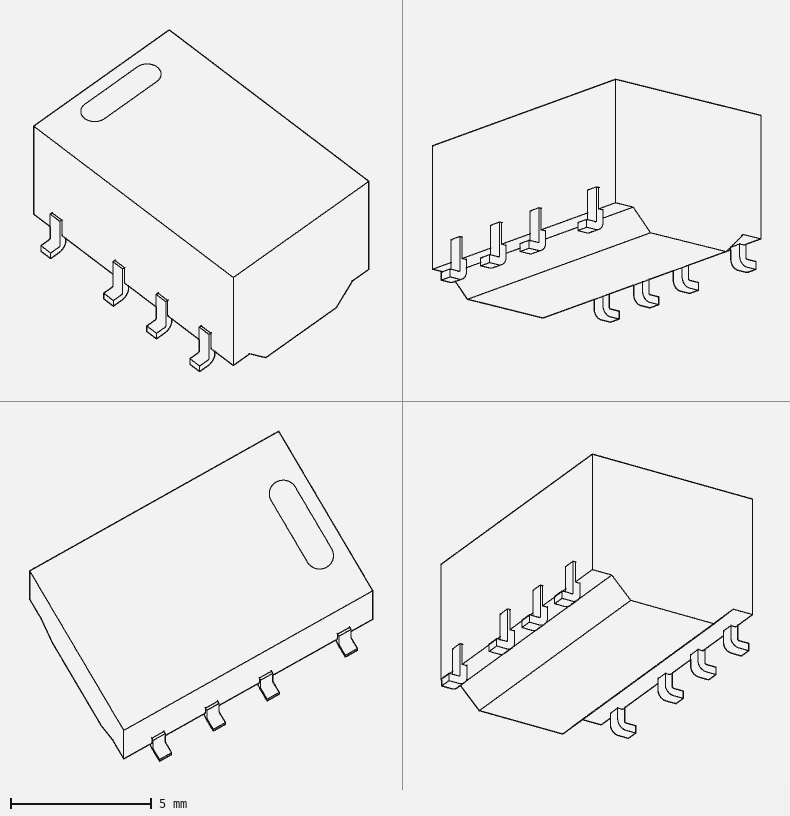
import cadquery as cq

length = 10.2
body_width = 6.7
top_height = 5.4
underside_height = 0.8
keel_width = 3.49

tip_span = 7.8
pin_width = 0.5
pin_thickness = 0.3
pin_height = 1.6
pin_proud = 0.09
inner_bend_radius = 0.05
outer_bend_radius = inner_bend_radius + pin_thickness
first_pin_from_end = 1.19
first_pin_gap = 3.2
pin_pitch = 2.2
pins_beyond_gap = 3

mark_length = 3.58
mark_width = 0.99
mark_depth = 0.1
mark_from_end = 1.0

first_pin_x = first_pin_from_end - length / 2
second_pin_x = first_pin_x + first_pin_gap
pin_places = [first_pin_x] + [second_pin_x + i * pin_pitch for i in range(pins_beyond_gap)]


def make_pin(x, side):
    """One L-shaped pin centred at x; side is -1 for the -Y row and +1 for the +Y row."""
    tip = side * tip_span / 2
    outer_face = side * (body_width / 2 + pin_proud)
    inner_face = outer_face - side * pin_thickness
    bend_centre = outer_face + side * inner_bend_radius
    bend_height = pin_thickness + inner_bend_radius
    profile = (
        cq.Workplane("YZ", origin=(x - pin_width / 2, 0, 0))
        .moveTo(tip, 0)
        .lineTo(bend_centre, 0)
        .radiusArc((inner_face, bend_height), side * outer_bend_radius)
        .lineTo(inner_face, pin_height)
        .lineTo(outer_face, pin_height)
        .lineTo(outer_face, bend_height)
        .radiusArc((bend_centre, pin_thickness), -side * inner_bend_radius)
        .lineTo(tip, pin_thickness)
        .close()
    )
    return profile.extrude(pin_width)


def make_index_mark():
    """Round-ended inlay lying across the -X end of the top face."""
    return (
        cq.Workplane("XY", origin=(mark_from_end - length / 2, 0, top_height - mark_depth))
        .slot2D(mark_length, mark_width, 90)
        .extrude(mark_depth)
    )


def make_housing(inserts):
    """Box and keel (45-degree flanks), with a matching recess for every insert."""
    keel_half = keel_width / 2
    keel_root_half = keel_half + underside_height
    section = [
        (-keel_half, 0),
        (keel_half, 0),
        (keel_root_half, underside_height),
        (body_width / 2, underside_height),
        (body_width / 2, top_height),
        (-body_width / 2, top_height),
        (-body_width / 2, underside_height),
        (-keel_root_half, underside_height),
    ]
    housing = cq.Workplane("YZ", origin=(-length / 2, 0, 0)).polyline(section).close().extrude(length)
    for insert in inserts:
        housing = housing.cut(insert)
    return housing


pins = [make_pin(x, side) for side in (-1, 1) for x in pin_places]
index_mark = make_index_mark()
housing = make_housing(pins + [index_mark])

result = cq.Compound.makeCompound([housing.solids().val(), index_mark.val(), *[pin.val() for pin in pins]])